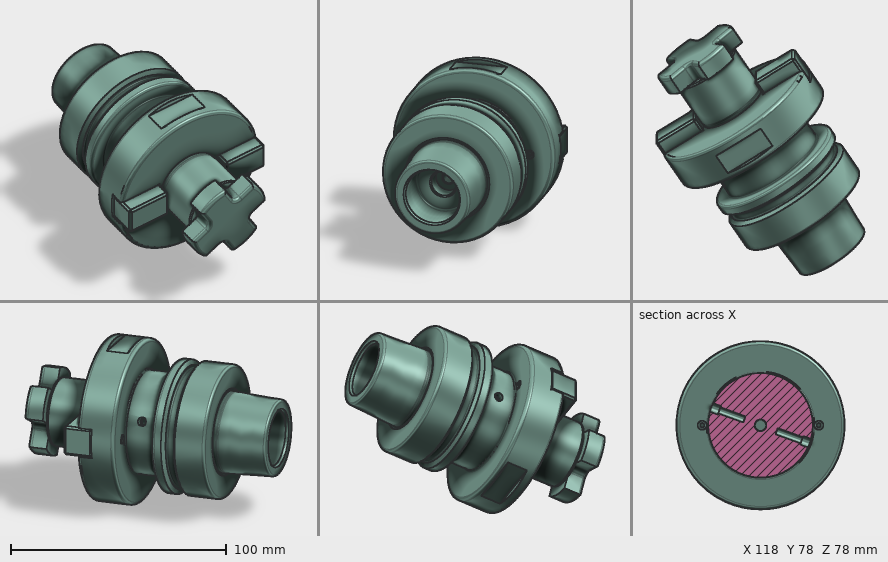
import cadquery as cq
import math

TOTAL_LENGTH = 118.0

TAPER_END_RADIUS = 18.0
TAPER_LENGTH = 23.0
TAPER_RATIO = 1 / 20
SHANK_TIP_FILLET = 1.0

GRIP_START = 25.0
GRIP_END = 51.0
GRIP_RADIUS = 31.5
GRIP_EDGE_RADIUS = 1.2
COLLAR_START = 24.0
COLLAR_RAMP = 0.4
COLLAR_RADIUS = 19.25
RELIEF_OUTER_RADIUS = 20.4
RELIEF_DEPTH = 0.5
GROOVE_START = 41.0
GROOVE_END = 45.0
GROOVE_RADIUS = 27.75
GROOVE_FLARE_RADIUS = 29.2
GROOVE_FLARE_LENGTH = 1.4
GROOVE_CORNER = 0.6

WAIST_RADIUS = 24.3
WAIST_FILLET = 0.7

DRIVE_START = 67.0
DRIVE_END = 85.0
DRIVE_RADIUS = 39.0
DRIVE_EDGE_RADIUS = 1.5

NECK_RADIUS = 15.8
NECK_END = 86.2
PILOT_START = 87.2
PILOT_END = 108.8
PILOT_RADIUS = 16.1
PILOT_CHAMFER_LENGTH = 0.9

BORE_RADIUS = 13.0
BORE_DEPTH = 18.6
BORE_CHAMFER = 0.7
BORE_CHAMFER_LENGTH = 1.4
BORE_CORNER = 1.0
STEP_RADIUS = 5.9
STEP_DEPTH = 8.0
STEP_CHAMFER = 0.6
COOLANT_RADIUS = 2.6
COOLANT_CHAMFER = 0.4

FLAT_HEIGHT = 37.0
FLAT_CENTER = 75.2
FLAT_FLOOR = 10.1
FLAT_MOUTH = 11.2

RADIAL_HOLE_X = 59.0
RADIAL_HOLE_ANGLE = 20.0
RADIAL_HOLE_RADIUS = 2.0
RADIAL_HOLE_DEPTH = 4.0
RADIAL_PILOT_RADIUS = 1.4
RADIAL_PILOT_END = 8.0

KEY_START = 78.0
KEY_END = 92.0
KEY_WIDTH = 14.0
KEY_INNER = 16.4
KEY_OUTER = 38.2
KEY_CHAMFER = 1.0

KEY_SCREW_RADIUS = 2.1
KEY_SCREW_OFFSET = 27.0
KEY_SCREW_RECESS = 1.0
SOCKET_SIDES = 6
SOCKET_ACROSS_FLATS = 2.0
SOCKET_DEPTH = 1.5

STEM_RADIUS = 8.0
STEM_START = 78.8
HEAD_RADIUS = 20.7
HEAD_EDGE_RADIUS = 1.7
NOTCH_COUNT = 4
NOTCH_ANGLE = 17.4
NOTCH_APEX = 11.1
NOTCH_CORNER = 3.0

CUT_MARGIN = 1.0

AXIS_START = (0, 0, 0)
AXIS_END = (1, 0, 0)


def turned(profile):
    """Close a half outline along the tool axis and revolve it."""
    return profile.close().revolve(360, AXIS_START, AXIS_END)


def x_cylinder(start_x, end_x, radius, y=0):
    return cq.Workplane("YZ", origin=(start_x, y, 0)).circle(radius).extrude(end_x - start_x)


def holder_blank():
    """Outer shape of the holder, with the half outline listed from the shank tip to the pilot end."""
    tip_radius = TAPER_END_RADIUS + SHANK_TIP_FILLET * TAPER_RATIO
    taper_radius = TAPER_END_RADIUS + TAPER_LENGTH * TAPER_RATIO
    return turned(
        cq.Workplane("XZ")
        .moveTo(0, 0)
        .lineTo(0, TAPER_END_RADIUS - SHANK_TIP_FILLET)
        .radiusArc((SHANK_TIP_FILLET, tip_radius), SHANK_TIP_FILLET)
        .lineTo(TAPER_LENGTH, taper_radius)
        .lineTo(COLLAR_START - COLLAR_RAMP, taper_radius)
        .lineTo(COLLAR_START, COLLAR_RADIUS)
        .lineTo(GRIP_START + RELIEF_DEPTH, COLLAR_RADIUS)
        .lineTo(GRIP_START + RELIEF_DEPTH, RELIEF_OUTER_RADIUS - RELIEF_DEPTH)
        .radiusArc((GRIP_START, RELIEF_OUTER_RADIUS), -RELIEF_DEPTH)
        .lineTo(GRIP_START, GRIP_RADIUS - GRIP_EDGE_RADIUS)
        .radiusArc((GRIP_START + GRIP_EDGE_RADIUS, GRIP_RADIUS), GRIP_EDGE_RADIUS)
        .lineTo(GROOVE_START - GROOVE_FLARE_LENGTH, GRIP_RADIUS)
        .lineTo(GROOVE_START, GROOVE_FLARE_RADIUS)
        .lineTo(GROOVE_START, GROOVE_RADIUS + GROOVE_CORNER)
        .radiusArc((GROOVE_START + GROOVE_CORNER, GROOVE_RADIUS), -GROOVE_CORNER)
        .lineTo(GROOVE_END - GROOVE_CORNER, GROOVE_RADIUS)
        .radiusArc((GROOVE_END, GROOVE_RADIUS + GROOVE_CORNER), -GROOVE_CORNER)
        .lineTo(GROOVE_END, GROOVE_FLARE_RADIUS)
        .lineTo(GROOVE_END + GROOVE_FLARE_LENGTH, GRIP_RADIUS)
        .lineTo(GRIP_END - GRIP_EDGE_RADIUS, GRIP_RADIUS)
        .radiusArc((GRIP_END, GRIP_RADIUS - GRIP_EDGE_RADIUS), GRIP_EDGE_RADIUS)
        .lineTo(GRIP_END, WAIST_RADIUS + WAIST_FILLET)
        .radiusArc((GRIP_END + WAIST_FILLET, WAIST_RADIUS), -WAIST_FILLET)
        .lineTo(DRIVE_START - WAIST_FILLET, WAIST_RADIUS)
        .radiusArc((DRIVE_START, WAIST_RADIUS + WAIST_FILLET), -WAIST_FILLET)
        .lineTo(DRIVE_START, DRIVE_RADIUS - DRIVE_EDGE_RADIUS)
        .radiusArc((DRIVE_START + DRIVE_EDGE_RADIUS, DRIVE_RADIUS), DRIVE_EDGE_RADIUS)
        .lineTo(DRIVE_END - DRIVE_EDGE_RADIUS, DRIVE_RADIUS)
        .radiusArc((DRIVE_END, DRIVE_RADIUS - DRIVE_EDGE_RADIUS), DRIVE_EDGE_RADIUS)
        .lineTo(DRIVE_END, NECK_RADIUS)
        .lineTo(NECK_END, NECK_RADIUS)
        .lineTo(PILOT_START, PILOT_RADIUS)
        .lineTo(PILOT_END - PILOT_CHAMFER_LENGTH, PILOT_RADIUS)
        .lineTo(PILOT_END, NECK_RADIUS)
        .lineTo(PILOT_END, 0)
    )


def shank_bore():
    """Shank pocket, the step at its bottom and the coolant hole that ends at the screw stem."""
    step_end = BORE_DEPTH + STEP_DEPTH
    return turned(
        cq.Workplane("XZ")
        .moveTo(0, 0)
        .lineTo(0, BORE_RADIUS + BORE_CHAMFER)
        .lineTo(BORE_CHAMFER_LENGTH, BORE_RADIUS)
        .lineTo(BORE_DEPTH - BORE_CORNER, BORE_RADIUS)
        .radiusArc((BORE_DEPTH, BORE_RADIUS - BORE_CORNER), BORE_CORNER)
        .lineTo(BORE_DEPTH, STEP_RADIUS + STEP_CHAMFER)
        .lineTo(BORE_DEPTH + STEP_CHAMFER, STEP_RADIUS)
        .lineTo(step_end, STEP_RADIUS)
        .lineTo(step_end, COOLANT_RADIUS + COOLANT_CHAMFER)
        .lineTo(step_end + COOLANT_CHAMFER, COOLANT_RADIUS)
        .lineTo(STEM_START, COOLANT_RADIUS)
        .lineTo(STEM_START, 0)
    )


def wrench_flat():
    """Pocket with slightly sloped ends, cut into the top of the drive flange."""
    rise = DRIVE_RADIUS - FLAT_HEIGHT
    return (
        cq.Workplane("XZ")
        .moveTo(FLAT_CENTER - FLAT_FLOOR / 2, FLAT_HEIGHT)
        .lineTo(FLAT_CENTER + FLAT_FLOOR / 2, FLAT_HEIGHT)
        .lineTo(FLAT_CENTER + FLAT_MOUTH / 2, FLAT_HEIGHT + rise)
        .lineTo(FLAT_CENTER - FLAT_MOUTH / 2, FLAT_HEIGHT + rise)
        .close()
        .extrude(DRIVE_RADIUS, both=True)
    )


def radial_hole():
    """Stepped hole from the waist surface towards the axis, on the -Y side."""
    plane = cq.Plane(origin=(RADIAL_HOLE_X, 0, 0), xDir=(1, 0, 0), normal=(0, -1, 0))
    shoulder = WAIST_RADIUS - RADIAL_HOLE_DEPTH
    mouth = (
        cq.Workplane(plane)
        .workplane(offset=shoulder)
        .circle(RADIAL_HOLE_RADIUS)
        .extrude(RADIAL_HOLE_DEPTH + CUT_MARGIN)
    )
    inner = (
        cq.Workplane(plane)
        .workplane(offset=RADIAL_PILOT_END)
        .circle(RADIAL_PILOT_RADIUS)
        .extrude(shoulder - RADIAL_PILOT_END)
    )
    return mouth.union(inner).rotate(AXIS_START, AXIS_END, RADIAL_HOLE_ANGLE)


def key_screw_hole():
    """Hole from the back of the drive flange to the floor of the key slot."""
    return x_cylinder(DRIVE_START, KEY_START, KEY_SCREW_RADIUS, -KEY_SCREW_OFFSET)


def key_screw():
    head_x = DRIVE_START + KEY_SCREW_RECESS
    body = x_cylinder(head_x, KEY_START, KEY_SCREW_RADIUS, -KEY_SCREW_OFFSET)
    across_corners = SOCKET_ACROSS_FLATS / math.cos(math.pi / SOCKET_SIDES)
    socket = (
        cq.Workplane("YZ", origin=(head_x, -KEY_SCREW_OFFSET, 0))
        .transformed(rotate=(0, 0, 180 / SOCKET_SIDES))
        .polygon(SOCKET_SIDES, across_corners)
        .extrude(SOCKET_DEPTH)
    )
    return body.cut(socket)


def key_box(end_x, outer_y):
    """Key-wide box on the -Y side, from the slot floor to end_x and from the key's inner face to outer_y."""
    return cq.Workplane("XY").box(
        end_x - KEY_START, outer_y - KEY_INNER, KEY_WIDTH, centered=(False, False, True)
    ).translate((KEY_START, -outer_y, 0))


def key_slot():
    return key_box(DRIVE_END, DRIVE_RADIUS)


def drive_key():
    return key_box(KEY_END, KEY_OUTER).edges().chamfer(KEY_CHAMFER)


def stem():
    return x_cylinder(STEM_START, PILOT_END, STEM_RADIUS)


def clamping_screw():
    """Round head with four rounded V notches, on a plain stem."""
    head = x_cylinder(PILOT_END, TOTAL_LENGTH, HEAD_RADIUS)
    reach = HEAD_RADIUS + CUT_MARGIN - NOTCH_APEX
    notch = (
        cq.Workplane("YZ", origin=(PILOT_END, 0, 0))
        .moveTo(-NOTCH_APEX, 0)
        .lineTo(-NOTCH_APEX - reach, reach)
        .lineTo(-NOTCH_APEX - reach, -reach)
        .close()
        .extrude(TOTAL_LENGTH - PILOT_END)
        .edges("|X and >Y")
        .fillet(NOTCH_CORNER)
    )
    for i in range(NOTCH_COUNT):
        head = head.cut(notch.rotate(AXIS_START, AXIS_END, -NOTCH_ANGLE + i * 360 / NOTCH_COUNT))
    head = head.faces(">X").edges().fillet(HEAD_EDGE_RADIUS)
    return head.union(stem())


def half_turn_pair(body):
    """The body and its copy turned half a turn about the tool axis."""
    return [body.rotate(AXIS_START, AXIS_END, angle) for angle in (0, 180)]


def holder_body():
    body = holder_blank().cut(shank_bore()).cut(stem())
    for cutter in (wrench_flat(), radial_hole(), key_screw_hole(), key_slot()):
        for copy in half_turn_pair(cutter):
            body = body.cut(copy)
    return body


holder = holder_body()
keys = half_turn_pair(drive_key())
key_screws = half_turn_pair(key_screw())
center_screw = clamping_screw()

result = cq.Compound.makeCompound([
    holder.val(),
    *[key.val() for key in keys],
    *[screw.val() for screw in key_screws],
    center_screw.val(),
])